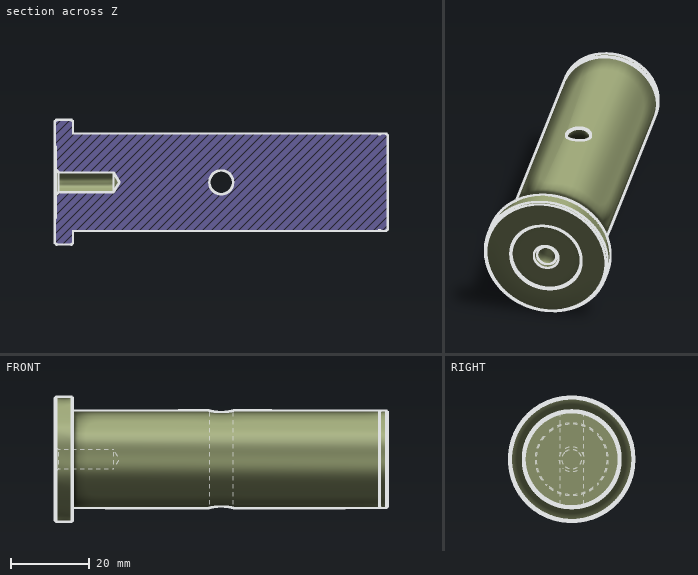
import cadquery as cq
import math

overall_length = 85.0
flange_diameter = 32.0
flange_thickness = 4.75
body_diameter = 25.0
edge_chamfer = 0.5

cross_hole_diameter = 6.0
cross_hole_chamfer = 0.25
cross_hole_x = overall_length / 2

tap_drill_diameter = 5.0
tap_mouth_diameter = 6.4
tap_depth = 15.0
drill_point_angle = 118.0

recess_diameter = 18.6
recess_depth = 0.3

body_groove_depth = 0.2
body_groove_width = 0.25
body_groove_end_distance = 2.0


def revolve_about_x(profile):
    """Solid of revolution about X from (x, radius) points."""
    return cq.Workplane("XY").polyline(profile).close().revolve(360, (0, 0, 0), (1, 0, 0))


def pin_blank():
    """Flange and body turned as one profile, with chamfered outer edges."""
    flange_radius = flange_diameter / 2
    body_radius = body_diameter / 2
    profile = [
        (0, 0),
        (0, flange_radius - edge_chamfer),
        (edge_chamfer, flange_radius),
        (flange_thickness - edge_chamfer, flange_radius),
        (flange_thickness, flange_radius - edge_chamfer),
        (flange_thickness, body_radius),
        (overall_length - edge_chamfer, body_radius),
        (overall_length, body_radius - edge_chamfer),
        (overall_length, 0),
    ]
    return revolve_about_x(profile)


def face_recess():
    """Shallow round recess in the flange face that narrows towards its floor."""
    mouth_radius = recess_diameter / 2
    profile = [
        (0, 0),
        (0, mouth_radius),
        (recess_depth, mouth_radius - recess_depth),
        (recess_depth, 0),
    ]
    return revolve_about_x(profile)


def body_groove():
    """Groove around the body near its free end."""
    body_radius = body_diameter / 2
    end_x = overall_length - body_groove_end_distance
    start_x = end_x - body_groove_width
    floor_radius = body_radius - body_groove_depth
    profile = [
        (start_x, floor_radius),
        (start_x, body_radius),
        (end_x, body_radius),
        (end_x, floor_radius),
    ]
    return revolve_about_x(profile)


def tapping_hole():
    """Blind hole with a 45 degree mouth chamfer and a conical drill point."""
    drill_radius = tap_drill_diameter / 2
    mouth_radius = tap_mouth_diameter / 2
    point_length = drill_radius / math.tan(math.radians(drill_point_angle / 2))
    profile = [
        (recess_depth, 0),
        (recess_depth, mouth_radius),
        (recess_depth + mouth_radius - drill_radius, drill_radius),
        (tap_depth, drill_radius),
        (tap_depth + point_length, 0),
    ]
    return revolve_about_x(profile)


def drill_cross_hole(pin):
    """Drill along Z through the body and chamfer both curved mouth edges."""
    drill = cq.Workplane("XY").circle(cross_hole_diameter / 2).extrude(body_diameter / 2, both=True)
    drilled = pin.cut(drill.translate((cross_hole_x, 0, 0)))
    mouths = drilled.edges(mouth_selector(1) + mouth_selector(-1))
    return mouths.chamfer(cross_hole_chamfer)


def mouth_selector(side):
    """Select edges centred in the outer half of the cross hole, above (1) or below (-1) the axis."""
    hole_radius = cross_hole_diameter / 2
    return cq.selectors.BoxSelector(
        (cross_hole_x - hole_radius, -hole_radius, side * body_diameter / 4),
        (cross_hole_x + hole_radius, hole_radius, side * body_diameter / 2),
    )


result = drill_cross_hole(pin_blank())
for cutter in (face_recess(), body_groove(), tapping_hole()):
    result = result.cut(cutter)